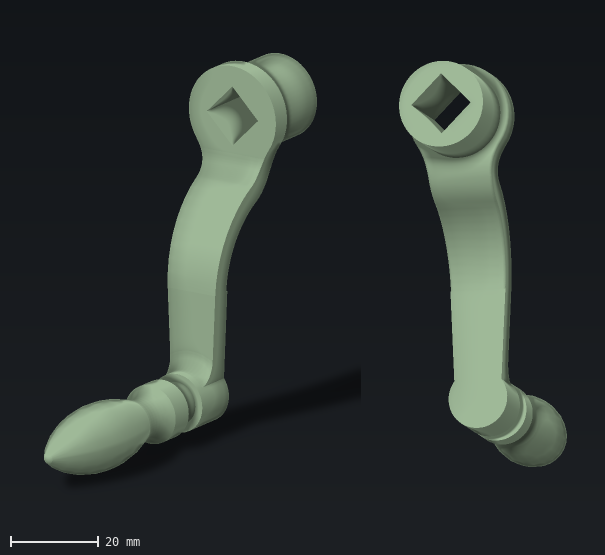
import cadquery as cq
import math


hub_radius = 10.0
hub_length = 15.0
flange_diameter = 24.0
square_side = 10.0

arm_thickness = 5.0
arm_offset = 17.0
neck_fillet = 15.0
arm_top_half_width = 7.6
arm_top_z = -14.55
arm_end_half_width = 5.4
upper_bend_z = -8.9
lower_bend_z = -37.8
lower_bend_radius = 26.2
back_edge_fillet = 0.6

total_height = 82.9
barrel_radius = 7.0
barrel_end = 43.1
barrel_fillet = 4.0
neck_radius = 5.0
collar_start = 48.7
collar_end = 54.1
waist_depth = 59.7
body_start = 63.3
belly_depth = 75.5
belly_radius = 8.0
tip_start = 96.5
tip_radius = 1.2
total_length = 97.0

flange_radius = flange_diameter / 2
grip_z = flange_radius + belly_radius - total_height
flange_front = hub_length + arm_thickness
arm_back = hub_length + arm_offset
arm_front = arm_back + arm_thickness


def along_y(sketch, start, end):
    """Extrude an XZ outline between two depths."""
    return sketch.extrude(end - start).translate((0, -start, 0))


def arm_face(flange_depth, arm_depth, bend_radius):
    """Points of an S-shaped face: bend start, mid, joint, mid, bend end, as (Y, Z)."""
    center_depth = arm_depth - bend_radius
    rise = upper_bend_z - lower_bend_z
    run = flange_depth - center_depth
    upper_radius = (run**2 + rise**2 - bend_radius**2) / (2 * (bend_radius - run))
    upper_center_depth = flange_depth + upper_radius
    angle = math.atan2(rise, upper_center_depth - center_depth)

    def lower(a):
        return (-center_depth - bend_radius * math.cos(a), lower_bend_z + bend_radius * math.sin(a))

    def upper(a):
        return (-upper_center_depth + upper_radius * math.cos(a), upper_bend_z - upper_radius * math.sin(a))

    return [
        (-flange_depth, upper_bend_z),
        upper(angle / 2),
        lower(angle),
        lower(angle / 2),
        (-arm_depth, lower_bend_z),
    ]


def side_profile():
    """Bent strip in the YZ plane, extruded across the full width."""
    front = arm_face(flange_front, arm_front, lower_bend_radius)
    back = arm_face(hub_length, arm_back, lower_bend_radius - arm_thickness)
    return (
        cq.Workplane("YZ")
        .moveTo(-hub_length, flange_radius)
        .lineTo(-flange_front, flange_radius)
        .lineTo(*front[0])
        .threePointArc(front[1], front[2])
        .threePointArc(front[3], front[4])
        .lineTo(-arm_front, grip_z)
        .lineTo(-arm_back, grip_z)
        .lineTo(*back[4])
        .threePointArc(back[3], back[2])
        .threePointArc(back[1], back[0])
        .close()
        .extrude(flange_radius, both=True)
    )


def arm_outline(start, end):
    """Round flange blending into the tapered arm."""
    taper = math.atan2(arm_top_half_width - arm_end_half_width, arm_top_z - grip_z)
    side_distance = arm_top_half_width * math.cos(taper) - arm_top_z * math.sin(taper)
    lean = math.acos((side_distance + neck_fillet) / (flange_radius + neck_fillet))
    center_angle = -taper - lean
    center_x = (flange_radius + neck_fillet) * math.cos(center_angle)
    center_z = (flange_radius + neck_fillet) * math.sin(center_angle)

    def on_blend(angle):
        return (center_x - neck_fillet * math.cos(angle), center_z - neck_fillet * math.sin(angle))

    rim_point = on_blend(center_angle)
    middle = on_blend(center_angle + lean / 2)
    side_point = on_blend(-taper)

    def mirrored(point):
        return (-point[0], point[1])

    sketch = (
        cq.Workplane("XZ")
        .moveTo(*rim_point)
        .threePointArc((0, flange_radius), mirrored(rim_point))
        .threePointArc(mirrored(middle), mirrored(side_point))
        .lineTo(-arm_end_half_width, grip_z)
        .lineTo(arm_end_half_width, grip_z)
        .lineTo(*side_point)
        .threePointArc(middle, rim_point)
        .close()
    )
    return along_y(sketch, start, end)


def arm():
    """Arm whose back edge is rounded around the flange and down to the end of the lower bend."""
    blank = side_profile().intersect(arm_outline(hub_length, arm_front))
    lower_length = lower_bend_z - grip_z
    below_bend = (
        cq.Workplane("XY", origin=(0, -arm_back, grip_z))
        .rect(2 * flange_radius, 2 * arm_back)
        .extrude(lower_length)
    )
    upper = blank.cut(below_bend).faces(">Y").edges(">Z").fillet(back_edge_fillet)
    return upper.union(blank.intersect(below_bend))


def revolve_grip(profile):
    """Revolve an XY profile about Y and move it to the grip axis."""
    return profile.close().revolve(360, (0, 0, 0), (0, 1, 0)).translate((0, 0, grip_z))


def barrel_blend():
    """Concave fillet between the barrel and the front of the arm, as wide as the arm."""
    outer = barrel_radius + barrel_fillet
    fillet_end = arm_front + barrel_fillet
    bulge = barrel_fillet * math.sqrt(0.5)
    profile = (
        cq.Workplane("XY")
        .moveTo(0, -arm_back)
        .lineTo(outer, -arm_back)
        .lineTo(outer, -arm_front)
        .threePointArc((outer - bulge, -fillet_end + bulge), (barrel_radius, -fillet_end))
        .lineTo(0, -fillet_end)
    )
    return revolve_grip(profile).intersect(arm_outline(arm_back, fillet_end))


def grip():
    """Barrel, narrow neck, collar and barrel-shaped handle with a rounded tip."""
    waist_run = waist_depth - collar_end
    waist_drop = barrel_radius - neck_radius
    waist_arc = (waist_run**2 + waist_drop**2) / (2 * waist_drop)

    tip_height = total_length - tip_start
    tip_arc = (tip_radius**2 + tip_height**2) / (2 * tip_height)
    tip_middle = tip_radius / 2
    tip_middle_depth = total_length - tip_arc + math.sqrt(tip_arc**2 - tip_middle**2)

    def waist_point(depth):
        rise = waist_arc - math.sqrt(waist_arc**2 - (depth - waist_depth) ** 2)
        return (neck_radius + rise, -depth)

    profile = (
        cq.Workplane("XY")
        .moveTo(0, -arm_back)
        .lineTo(barrel_radius, -arm_back)
        .lineTo(barrel_radius, -barrel_end)
        .lineTo(neck_radius, -barrel_end)
        .lineTo(neck_radius, -collar_start)
        .lineTo(barrel_radius, -collar_start)
        .lineTo(barrel_radius, -collar_end)
        .threePointArc(waist_point((collar_end + waist_depth) / 2), (neck_radius, -waist_depth))
        .threePointArc(waist_point((waist_depth + body_start) / 2), waist_point(body_start))
        .threePointArc((belly_radius, -belly_depth), (tip_radius, -tip_start))
        .threePointArc((tip_middle, -tip_middle_depth), (0, -total_length))
    )
    return revolve_grip(profile)


hub = along_y(cq.Workplane("XZ").circle(hub_radius), 0, flange_front)
square_hole = along_y(
    cq.Workplane("XZ").transformed(rotate=(0, 0, 45)).rect(square_side, square_side), 0, flange_front
)

result = hub.union(arm()).union(barrel_blend()).union(grip()).cut(square_hole)